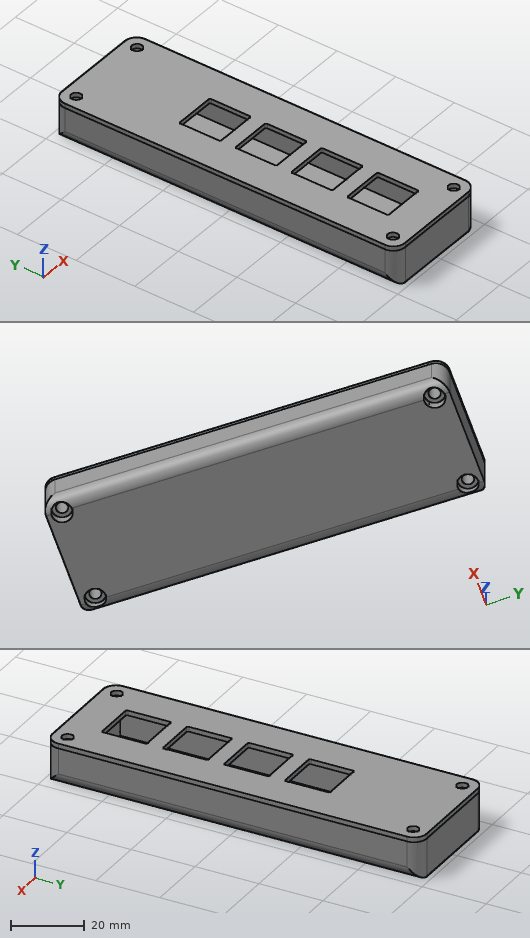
import cadquery as cq

length = 117.0
width = 37.0
height = 13.5
corner_radius = 4.0

lid_thickness = 1.5
housing_height = height - lid_thickness
floor_thickness = 2.0

screw_hole_diameter = 3.4
head_recess_diameter = 6.0
head_recess_depth = 3.0
screw_spacing_x = 28.0
screw_spacing_y = 108.0

window_count = 4
window_size = 14.0
window_pitch = 19.1
window_corner_radius = 0.5
window_row_center_y = -11.6
first_window_y = window_row_center_y - (window_count - 1) * window_pitch / 2

wall_thickness = 6.8
cavity_width = width - 2 * wall_thickness
cavity_length = length - 2 * wall_thickness


def rounded_block(block_height):
    """Block with the common outline, standing on z = 0."""
    block = cq.Workplane("XY").box(width, length, block_height, centered=(True, True, False))
    return block.edges("|Z").fillet(corner_radius)


def screw_cylinders(diameter, depth):
    """Four cylinders at the screw places, rising from z = 0."""
    places = cq.Workplane("XY").rect(screw_spacing_x, screw_spacing_y, forConstruction=True)
    return places.vertices().circle(diameter / 2).extrude(depth)


def make_housing():
    """Tray with an open cavity, screw holes and head recesses."""
    profile = (
        cq.Workplane("XY")
        .box(width, length, housing_height, centered=(True, True, False))
        .edges("|Y and <Z")
        .fillet(corner_radius)
    )
    body = rounded_block(housing_height).intersect(profile)

    cavity = (
        cq.Workplane("XY")
        .workplane(offset=floor_thickness)
        .rect(cavity_width, cavity_length)
        .extrude(housing_height - floor_thickness)
    )
    body = body.cut(cavity)
    body = body.cut(screw_cylinders(screw_hole_diameter, housing_height))
    return body.cut(screw_cylinders(head_recess_diameter, head_recess_depth))


def make_lid():
    """Flat cover plate resting on the housing, with the row of windows."""
    lid = rounded_block(lid_thickness).cut(screw_cylinders(screw_hole_diameter, lid_thickness))
    for index in range(window_count):
        window = (
            cq.Workplane("XY")
            .center(0, first_window_y + index * window_pitch)
            .rect(window_size, window_size)
            .extrude(lid_thickness)
            .edges("|Z")
            .fillet(window_corner_radius)
        )
        lid = lid.cut(window)
    return lid.translate((0, 0, housing_height))


housing = make_housing()
lid = make_lid()

result = cq.Compound.makeCompound([housing.val(), lid.val()])